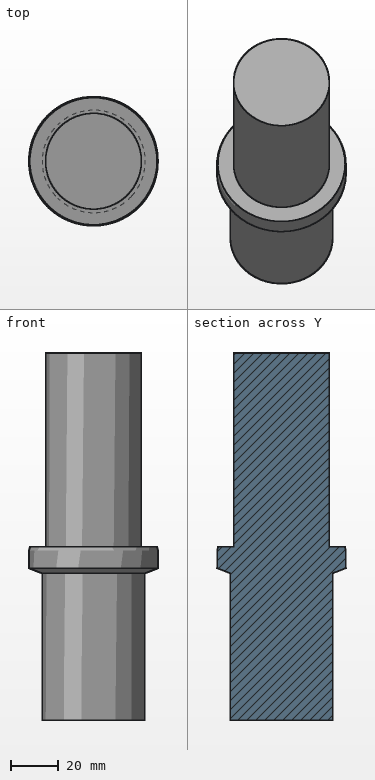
import cadquery as cq

total_height = 153.5
lower_diameter = 43.0
upper_diameter = 40.0
collar_diameter = 54.0

collar_bottom = 61.4
collar_top = 72.6

flare_height = 2.1
bevel_height = 1.5
bevel_width = 0.5

lower_radius = lower_diameter / 2
upper_radius = upper_diameter / 2
collar_radius = collar_diameter / 2

profile = [
    (0, 0),
    (lower_radius, 0),
    (lower_radius, collar_bottom),
    (collar_radius, collar_bottom + flare_height),
    (collar_radius, collar_top - bevel_height),
    (collar_radius - bevel_width, collar_top),
    (upper_radius, collar_top),
    (upper_radius, total_height),
    (0, total_height),
]

result = cq.Workplane("XZ").polyline(profile).close().revolve(360, (0, 0, 0), (0, 1, 0))